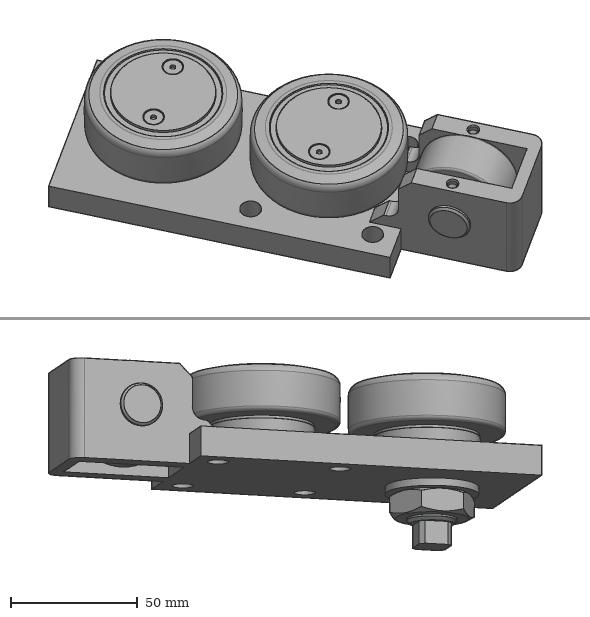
import cadquery as cq
import math

plate_length = 139.9
plate_width = 70.0
plate_thickness = 12.0
mount_hole_diameter = 8.5
mount_hole_offset = 25.0

first_roller_x = 37.0
roller_spacing = 67.9
second_roller_x = first_roller_x + roller_spacing
neck_diameter = 42.1
neck_top = 19.7
collar_diameter = 41.5
tyre_bottom = 20.9
tyre_radius = 31.2
tyre_edge_radius = 31.0
barrel_bottom = 22.5
barrel_top = 36.8
lower_round = 1.7
upper_round = 3.8
shoulder_radius = 29.3
shoulder_top = 39.7
rim_radius = 25.0
rim_top = 40.8
ring_radius = 23.5
ring_floor_radius = 23.1
cap_radius = 20.9
cap_top_radius = 20.7
ring_top = 40.5
cap_top = 41.4

cap_screw_diameter = 8.5
cap_screw_offset = 14.0
cap_screw_head_diameter = 7.7
cap_screw_recess = 0.2
socket_diameter = 2.3
socket_depth = 1.5

eccentricity = 2.0
bolt_x = first_roller_x - eccentricity
washer_diameter = 37.0
washer_thickness = 3.0
nut_sides = 6
nut_flats = 30.0
nut_bottom = -12.8
nut_face_diameter = 29.0
nut_chamfer_angle = 30.0
bolt_diameter = 20.0
bolt_end = -14.9
bolt_chamfer = 1.3
stub_flats = 13.2
stub_chamfer = 1.9
stub_bottom = -24.0

bracket_end = 188.0
bracket_width = 38.0
bracket_top = 40.0
end_wall = 5.0
slot_width = 22.0
arm_start = 138.7
arm_chamfer = 5.3
bracket_corner_radius = 5.0
foot_start = 126.9
foot_height = 5.8
foot_fillet = 5.0
set_screw_mouth = 4.9
set_screw_diameter = 4.0
set_screw_depth = 2.3

wheel_x = 159.8
wheel_z = 22.5
wheel_radius = 20.0
wheel_edge_radius = 19.7
wheel_width = 19.5
wheel_round = 1.0
pin_diameter = 17.1
pin_length = 41.7
pin_chamfer = 1.0

overlap = 1.0
diagonal = math.sqrt(0.5)


def make_plate():
    plate = cq.Workplane("XY").box(
        plate_length, plate_width, plate_thickness, centered=(False, True, False)
    )
    holes = (
        cq.Workplane("XY")
        .center(second_roller_x, 0)
        .rect(2 * mount_hole_offset, 2 * mount_hole_offset, forConstruction=True)
        .vertices()
        .circle(mount_hole_diameter / 2)
        .extrude(plate_thickness)
    )
    return plate.cut(holes)


def make_roller(center_x):
    """Upright roller with its neck standing on the plate."""
    collar_radius = collar_diameter / 2
    neck_radius = neck_diameter / 2
    lower_round_shift = lower_round * (1 - diagonal)
    roller = (
        cq.Workplane("XZ")
        .moveTo(0, plate_thickness - overlap)
        .lineTo(neck_radius, plate_thickness - overlap)
        .lineTo(neck_radius, neck_top)
        .lineTo(collar_radius, neck_top)
        .lineTo(collar_radius, tyre_bottom)
        .lineTo(tyre_edge_radius - lower_round, tyre_bottom)
        .threePointArc(
            (tyre_edge_radius - lower_round_shift, tyre_bottom + lower_round_shift),
            (tyre_edge_radius, barrel_bottom),
        )
        .threePointArc(
            (tyre_radius, (barrel_bottom + barrel_top) / 2),
            (tyre_edge_radius, barrel_top),
        )
        .radiusArc((shoulder_radius, shoulder_top), -upper_round)
        .lineTo(rim_radius, rim_top)
        .lineTo(ring_radius, rim_top)
        .lineTo(ring_floor_radius, ring_top)
        .lineTo(cap_radius, ring_top)
        .lineTo(cap_top_radius, cap_top)
        .lineTo(0, cap_top)
        .close()
        .revolve(360, (0, 0, 0), (0, 1, 0))
    )
    screw_places = [(0, -cap_screw_offset), (0, cap_screw_offset)]
    screw_top = cq.Workplane("XY").workplane(offset=cap_top).pushPoints(screw_places)
    recess_run = (cap_screw_diameter - cap_screw_head_diameter) / 2
    recess_taper = math.degrees(math.atan2(recess_run, cap_screw_recess))
    recesses = screw_top.circle(cap_screw_diameter / 2).extrude(-cap_screw_recess, taper=recess_taper)
    sockets = screw_top.circle(socket_diameter / 2).extrude(-socket_depth)
    return roller.cut(recesses).cut(sockets).translate((center_x, 0, 0))


def make_nut():
    """Hexagon nut, both faces chamfered by cones, with corners on the X axis."""
    corner_radius = nut_flats / 2 / math.cos(math.pi / nut_sides)
    face_radius = nut_face_diameter / 2
    chamfer_height = (corner_radius - face_radius) * math.tan(math.radians(nut_chamfer_angle))
    nut_top = -washer_thickness
    hexagon = (
        cq.Workplane("XY")
        .workplane(offset=nut_top)
        .polygon(nut_sides, 2 * corner_radius)
        .extrude(nut_bottom - nut_top)
    )
    chamfer_envelope = (
        cq.Workplane("XZ")
        .moveTo(0, nut_bottom)
        .lineTo(face_radius, nut_bottom)
        .lineTo(corner_radius, nut_bottom + chamfer_height)
        .lineTo(corner_radius, nut_top - chamfer_height)
        .lineTo(face_radius, nut_top)
        .lineTo(0, nut_top)
        .close()
        .revolve(360, (0, 0, 0), (0, 1, 0))
    )
    return hexagon.intersect(chamfer_envelope)


def make_eccentric_bolt():
    """Washer, nut, bolt end and square adjusting stub below the plate."""
    washer = (
        cq.Workplane("XY")
        .workplane(offset=overlap)
        .circle(washer_diameter / 2)
        .extrude(-washer_thickness - overlap)
    )
    bolt = (
        cq.Workplane("XY")
        .circle(bolt_diameter / 2)
        .extrude(bolt_end)
        .faces("<Z")
        .chamfer(bolt_chamfer)
    )
    stub = (
        cq.Workplane("XY")
        .rect(stub_flats, stub_flats)
        .extrude(stub_bottom)
        .edges("|Z")
        .chamfer(stub_chamfer)
    )
    return washer.union(make_nut()).union(bolt).union(stub).translate((bolt_x, 0, 0))


def make_bracket():
    """Open yoke with two arms and a stepped foot resting on the plate."""
    foot_top = plate_thickness + foot_height
    fillet_start = arm_start - foot_fillet
    bracket = (
        cq.Workplane("XZ")
        .moveTo(foot_start, plate_thickness)
        .lineTo(foot_start + foot_height, foot_top)
        .lineTo(fillet_start, foot_top)
        .threePointArc(
            (fillet_start + foot_fillet * diagonal, foot_top + foot_fillet * (1 - diagonal)),
            (arm_start, foot_top + foot_fillet),
        )
        .lineTo(arm_start, bracket_top - arm_chamfer)
        .lineTo(arm_start + arm_chamfer, bracket_top)
        .lineTo(bracket_end, bracket_top)
        .lineTo(bracket_end, 0)
        .lineTo(plate_length, 0)
        .lineTo(plate_length, plate_thickness)
        .close()
        .extrude(bracket_width / 2, both=True)
        .edges("|Z and >X")
        .fillet(bracket_corner_radius)
    )
    slot = cq.Workplane("XY").box(
        bracket_end - end_wall - foot_start,
        slot_width,
        bracket_top,
        centered=(False, True, False),
    ).translate((foot_start, 0, 0))
    return bracket.cut(slot).cut(make_pin(end_chamfer=0)).cut(make_set_screw_holes())


def make_set_screw_holes():
    """Countersunk blind holes with conical bottoms, one above each pin end."""
    mouth_radius = set_screw_mouth / 2
    hole_radius = set_screw_diameter / 2
    hole = (
        cq.Workplane("XZ")
        .moveTo(0, 0)
        .lineTo(mouth_radius, 0)
        .lineTo(hole_radius, hole_radius - mouth_radius)
        .lineTo(hole_radius, -set_screw_depth)
        .lineTo(0, -set_screw_depth - hole_radius)
        .close()
        .revolve(360, (0, 0, 0), (0, 1, 0))
    )
    arm_middle = (bracket_width + slot_width) / 4
    holes = cq.Workplane("XY")
    for side in (-1, 1):
        holes = holes.add(hole.translate((wheel_x, side * arm_middle, bracket_top)))
    return holes.combine()


def make_pin(end_chamfer):
    pin = cq.Workplane("XZ").circle(pin_diameter / 2).extrude(pin_length / 2, both=True)
    if end_chamfer > 0:
        pin = pin.faces("<Y or >Y").chamfer(end_chamfer)
    return pin.translate((wheel_x, 0, wheel_z))


def make_wheel():
    """Barrel-shaped side wheel together with its pin."""
    half_width = wheel_width / 2
    barrel_half_width = half_width - wheel_round
    round_shift = wheel_round * (1 - diagonal)
    rounded_radius = wheel_edge_radius - wheel_round
    tyre = (
        cq.Workplane("XY")
        .moveTo(0, -half_width)
        .lineTo(rounded_radius, -half_width)
        .threePointArc(
            (wheel_edge_radius - round_shift, round_shift - half_width),
            (wheel_edge_radius, -barrel_half_width),
        )
        .threePointArc((wheel_radius, 0), (wheel_edge_radius, barrel_half_width))
        .threePointArc(
            (wheel_edge_radius - round_shift, half_width - round_shift),
            (rounded_radius, half_width),
        )
        .lineTo(0, half_width)
        .close()
        .revolve(360, (0, 0, 0), (0, 1, 0))
        .translate((wheel_x, 0, wheel_z))
    )
    return tyre.union(make_pin(pin_chamfer))


carriage = make_plate().union(make_bracket())
for roller_x in (first_roller_x, second_roller_x):
    carriage = carriage.union(make_roller(roller_x))
carriage = carriage.union(make_eccentric_bolt())

wheel = make_wheel()

result = cq.Compound.makeCompound([carriage.solids().val(), wheel.solids().val()])